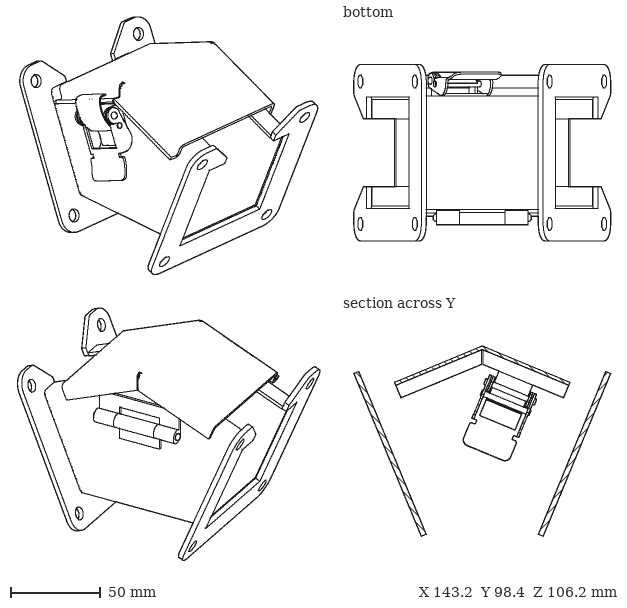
import cadquery as cq
import math


ANGLE = 22.5
SIN = math.sin(math.radians(ANGLE))
COS = math.cos(math.radians(ANGLE))
TAN = SIN / COS
SHEET = 2.0
BEND_IN = 1.0
BEND_OUT = BEND_IN + SHEET
HALF_SPAN = 71.6
FAR = 143.2

FLANGE_SIZE = 98.4
FLANGE_THICK = 3.0
FLANGE_LOW_Z = -17.2
HOLE_DIAMETER = 7.2
HOLE_PITCH = 79.3
CORNER_RADIUS = (FLANGE_SIZE - HOLE_PITCH) / 2
WINDOW_WIDTH = 61.9
WINDOW_LOW = 18.2
ARM_LOW = 79.8
ARM_TIP_HIGH = 84.5
MOUTH_WIDTH = 37.8
ARM_TOP_HALF = 32.2
ARM_TOP_RADIUS = 2.9

TROUGH_WIDTH = 63.3
TROUGH_APEX_Z = 85.0

LID_APEX_Z = 89.1
LID_WIDTH = 73.6
LID_SHIFT_Y = -1.3
LID_LENGTH = 53.0
SKIRT_DEPTH = 9.3
LIP_ANGLE = 10.0
LIP_END_Y = -43.3
LIP_END_TOP = -6.9
SLIT_WIDTH = 0.7
RELIEF_DIAMETER = 1.5

LID_FRONT_Y = LID_SHIFT_Y - LID_WIDTH / 2
LID_BACK_Y = LID_SHIFT_Y + LID_WIDTH / 2

HINGE_AXIS_Y = 36.2
HINGE_AXIS_Z = 56.6
KNUCKLE_RADIUS = 4.0
HINGE_HALF = 25.5
HINGE_MID_HALF = HINGE_HALF / 2
LEAF_THICK = 1.6
LEAF_REACH = 12.9
LID_LEAF_TOP_Z = 70.9
LEAF_BRIDGE_HEIGHT = 7.2
PIN_DIAMETER = 3.2
PIN_HEAD_DIAMETER = 4.0
HINGE_HEAD_LENGTH = 1.9
DOME_SHARE = 0.8

LATCH_SHEET = 1.3
HOOK_SHEET = 0.7
LATCH_CENTRE_X = -24.2
PIVOT_Y = -40.1
PIVOT_Z = -17.8
LUG_RADIUS = 4.5
PIVOT_HEAD_LENGTH = 1.1
HOOK_WIDTH = 20.5
HOOK_TOP_Z = -5.5
HOOK_BACK_Y = -38.5
HOOK_FRONT_Y = -45.0
HOOK_ARC_RADIUS = 19.2
HOOK_ARC_UP = 16.0
HOOK_ARC_DOWN = 46.5
HOOK_BEND = 3.2
LEVER_WIDTH = 28.4
LEVER_FRONT_Y = -42.0
LEVER_BEND = 2.3
WEB_TOP_Z = -22.3
WINDOW_HALF = 10.6
LEVER_WINDOW_LOW = -36.4
LEVER_WALL_LOW = -39.5
NECK_HALF = 11.2
TAB_TOP_Z = -41.8
TAB_BEND_HEIGHT = 7.0
TAB_FLAT_HEIGHT = 5.5
TAB_ANGLE = 19.0
TAB_RADIUS = 3.6
EAR_FRONT_Y = -38.7
EAR_MIDDLE = (-33.7, -37.1)
EAR_BACK = (-32.1, -30.8)
ROD_TURN = 42.0
ROD_END = 0.6
BASE_HALF = 12.0
BASE_LOW_Z = -37.5
BASE_CORNER = 1.5


def mirrored_pair(half, gap=0):
    """Trim a half body at the mitre plane and join it to its mirror image, optionally leaving a gap."""
    left = half.intersect(cq.Workplane("XY").box(FAR, FAR, 2 * FAR).translate((-(FAR + gap) / 2, 0, 0)))
    return left.union(left.mirror("YZ"))


def onto_left_slope(body):
    """Move a body from the slope frame to its place on the left lid half."""
    return body.rotate((0, 0, 0), (0, 1, 0), -ANGLE).translate((0, 0, LID_APEX_Z))


def bar_along_x(radius, x_start, x_end, y, z):
    return cq.Workplane("YZ", origin=(x_start, 0, 0)).center(y, z).circle(radius).extrude(x_end - x_start)


def fillet_near(body, radius, point):
    return body.edges(cq.selectors.NearestToPointSelector(point)).fillet(radius)


def headed_pin(half_length, head_length, x, y, z):
    """Pin along X with a domed head at each end."""
    pin = bar_along_x(PIN_DIAMETER / 2, x - half_length, x + half_length, y, z)
    for side in (-1, 1):
        start = x + side * half_length
        head = bar_along_x(PIN_HEAD_DIAMETER / 2, start, start + side * head_length, y, z)
        outer_face = ">X" if side > 0 else "<X"
        pin = pin.union(head.faces(outer_face).edges().fillet(head_length * DOME_SHARE))
    return pin


def left_flange():
    half = FLANGE_SIZE / 2
    mouth = MOUTH_WIDTH / 2
    window = WINDOW_WIDTH / 2
    right_side = [
        (half, 0), (half, FLANGE_SIZE), (ARM_TOP_HALF, FLANGE_SIZE), (mouth, ARM_TIP_HIGH),
        (mouth, ARM_LOW), (window, ARM_LOW), (window, WINDOW_LOW),
    ]
    left_side = [(-y, z) for y, z in reversed(right_side)]
    plate = cq.Workplane("YZ").polyline(right_side + left_side).close().extrude(FLANGE_THICK)
    for side in (-1, 1):
        for z in (0, FLANGE_SIZE):
            plate = fillet_near(plate, CORNER_RADIUS, (FLANGE_THICK / 2, side * half, z))
        plate = fillet_near(plate, ARM_TOP_RADIUS, (FLANGE_THICK / 2, side * ARM_TOP_HALF, FLANGE_SIZE))
    holes = (
        cq.Workplane("YZ").center(0, half).rect(HOLE_PITCH, HOLE_PITCH, forConstruction=True)
        .vertices().circle(HOLE_DIAMETER / 2).extrude(FLANGE_THICK)
    )
    low_x = FLANGE_SIZE * SIN - HALF_SPAN
    return plate.cut(holes).rotate((0, 0, 0), (0, 1, 0), -ANGLE).translate((low_x, 0, FLANGE_LOW_Z))


def trough_half_block(inset, radius, end_reach):
    """Half of the trough envelope, drawn past the mitre plane, with its long edges rounded."""
    face_x = FLANGE_SIZE * SIN - HALF_SPAN + (FLANGE_THICK - end_reach) / COS + FLANGE_LOW_Z * TAN
    low = inset
    apex = TROUGH_APEX_Z - inset / COS
    corner_z = (apex + face_x * TAN) / (1 + TAN * TAN)
    past = BEND_OUT * 4
    outline = [
        (past, low), (face_x - low * TAN, low),
        (face_x - corner_z * TAN, corner_z), (past, apex + past * TAN),
    ]
    width = TROUGH_WIDTH - 2 * inset
    block = cq.Workplane("XZ").polyline(outline).close().extrude(width / 2, both=True)
    block = block.edges("|X").fillet(radius)
    return block.edges(cq.selectors.ParallelDirSelector(cq.Vector(COS, 0, SIN))).fillet(radius)


def trough_body():
    shell = trough_half_block(0, BEND_OUT, 0).cut(trough_half_block(SHEET, BEND_IN, FLANGE_THICK))
    mouth = cq.Workplane("XY").box(2 * FAR, MOUTH_WIDTH, FAR).translate((0, 0, FAR / 2 + BEND_OUT))
    return mirrored_pair(shell.cut(mouth))


def lid_side(points, rounded):
    """Folded side strip of the left lid half; rounded lists (radius, y, z) of its bends."""
    past_mitre = SKIRT_DEPTH
    strip = cq.Workplane("YZ", origin=(-LID_LENGTH, 0, 0)).polyline(points).close()
    strip = strip.extrude(LID_LENGTH + past_mitre)
    for radius, y, z in rounded:
        strip = fillet_near(strip, radius, ((past_mitre - LID_LENGTH) / 2, y, z))
    return onto_left_slope(strip)


def lid_front_side():
    lip_sin = math.sin(math.radians(LIP_ANGLE))
    lip_cos = math.cos(math.radians(LIP_ANGLE))
    lip_tan = lip_sin / lip_cos
    outer = LID_FRONT_Y
    inner = outer + SHEET
    flat = outer + BEND_OUT
    end_low = (LIP_END_Y, LIP_END_TOP - SHEET * lip_cos)
    end_top = (LIP_END_Y + SHEET * lip_sin, LIP_END_TOP)
    root_top = (outer, LIP_END_TOP - (outer - end_top[0]) * lip_tan)
    root_low = (inner, end_low[1] - (inner - end_low[0]) * lip_tan)
    points = [(flat, 0), (outer, 0), root_top, end_top, end_low, root_low, (inner, -SHEET), (flat, -SHEET)]
    bends = [
        (BEND_OUT - 0.01, outer, 0), (BEND_IN - 0.01, inner, -SHEET),
        (BEND_IN, *root_top), (BEND_OUT, *root_low),
    ]
    return lid_side(points, bends)


def lid_back_side():
    outer = LID_BACK_Y
    inner = outer - SHEET
    flat = outer - BEND_OUT
    points = [
        (flat, 0), (outer, 0), (outer, -SKIRT_DEPTH), (inner, -SKIRT_DEPTH),
        (inner, -SHEET), (flat, -SHEET),
    ]
    return lid_side(points, [(BEND_OUT - 0.01, outer, 0), (BEND_IN - 0.01, inner, -SHEET)])


def lid_roof():
    """The two sloping sheets joined by a rounded bend over the mitre plane."""
    end_x = -LID_LENGTH * COS
    end_z = LID_APEX_Z - LID_LENGTH * SIN
    right = [(0, LID_APEX_Z), (-end_x, end_z), (-end_x - SHEET * SIN, end_z - SHEET * COS)]
    left = [(end_x + SHEET * SIN, end_z - SHEET * COS), (end_x, end_z)]
    inner_apex = (0, LID_APEX_Z - SHEET / COS)
    width = LID_WIDTH - 2 * BEND_OUT
    roof = cq.Workplane("XZ").polyline(right + [inner_apex] + left).close().extrude(width / 2, both=True)
    roof = fillet_near(roof, BEND_OUT, (0, 0, LID_APEX_Z))
    roof = fillet_near(roof, BEND_IN, (inner_apex[0], 0, inner_apex[1]))
    return roof.translate((0, LID_SHIFT_Y, 0))


def lid_body():
    """Roof with folded sides; a slit and a relief hole part each side at the mitre plane."""
    lid = lid_roof()
    for side_strip in (lid_front_side(), lid_back_side()):
        lid = lid.union(mirrored_pair(side_strip, SLIT_WIDTH))
    for side in (-1, 1):
        relief_y = LID_SHIFT_Y + side * (LID_WIDTH - SHEET) / 2
        relief = cq.Workplane("XY", origin=(0, relief_y, LID_APEX_Z - BEND_OUT))
        relief = relief.circle(RELIEF_DIAMETER / 2).extrude(BEND_OUT)
        lid = lid.cut(relief)
    return lid


def hinge_leaf(knuckle_spans, plate_y, low_z, high_z):
    """Knuckles along X with a flat leaf of the same spans."""
    leaf = cq.Workplane("XY")
    for start, end in knuckle_spans:
        plate = cq.Workplane("XY").box(end - start, LEAF_THICK, high_z - low_z, centered=False)
        leaf = leaf.union(plate.translate((start, plate_y, low_z)))
        leaf = leaf.union(bar_along_x(KNUCKLE_RADIUS, start, end, HINGE_AXIS_Y, HINGE_AXIS_Z))
    return leaf.cut(bar_along_x(PIN_DIAMETER / 2, -FAR, FAR, HINGE_AXIS_Y, HINGE_AXIS_Z))


def trough_hinge_leaf():
    spans = [(-HINGE_MID_HALF, HINGE_MID_HALF)]
    return hinge_leaf(spans, TROUGH_WIDTH / 2, HINGE_AXIS_Z - LEAF_REACH, HINGE_AXIS_Z)


def lid_hinge_leaf():
    spans = [(-HINGE_HALF, -HINGE_MID_HALF), (HINGE_MID_HALF, HINGE_HALF)]
    leaf = hinge_leaf(spans, LID_BACK_Y - SHEET - LEAF_THICK, HINGE_AXIS_Z, LID_LEAF_TOP_Z)
    bridge = cq.Workplane("XY").box(2 * HINGE_HALF, LEAF_THICK, LEAF_BRIDGE_HEIGHT, centered=False)
    bridge_z = LID_LEAF_TOP_Z - LEAF_BRIDGE_HEIGHT
    return leaf.union(bridge.translate((-HINGE_HALF, LID_BACK_Y - SHEET - LEAF_THICK, bridge_z)))


def latch_slab(half_width, low_y, high_y, low_z, high_z):
    """Block symmetric about the latch centre, in the slope frame."""
    slab = cq.Workplane("XY").box(2 * half_width, high_y - low_y, high_z - low_z, centered=(True, False, False))
    return slab.translate((LATCH_CENTRE_X, low_y, low_z))


def latch_profile(half_width):
    """Sketch plane normal to X from which a latch section is extruded over its full width."""
    return cq.Workplane("YZ", origin=(LATCH_CENTRE_X - half_width, 0, 0))


def latch_rod(half_length, y, z):
    return bar_along_x(PIN_DIAMETER / 2, LATCH_CENTRE_X - half_length, LATCH_CENTRE_X + half_length, y, z)


def hook_point(centre, radius, degrees):
    """Point on an arc; degrees run upward from the outward (-Y) direction."""
    turn = math.radians(degrees)
    return (centre[0] - radius * math.cos(turn), centre[1] + radius * math.sin(turn))


def hook_arc_centre():
    reach = HOOK_ARC_RADIUS - HOOK_BEND
    drop = HOOK_BEND + reach * math.sin(math.radians(HOOK_ARC_UP))
    return (HOOK_FRONT_Y + HOOK_ARC_RADIUS, HOOK_TOP_Z - drop)


def hook_body():
    """Strap that lies over the lid lip and curls down behind the lever web."""
    big = hook_arc_centre()
    small = hook_point(big, HOOK_ARC_RADIUS - HOOK_BEND, HOOK_ARC_UP)
    big_inner = HOOK_ARC_RADIUS - HOOK_SHEET
    small_inner = HOOK_BEND - HOOK_SHEET
    middle = (90 + HOOK_ARC_UP) / 2
    width = HOOK_WIDTH
    strap = (
        latch_profile(width / 2).moveTo(HOOK_BACK_Y, HOOK_TOP_Z)
        .lineTo(small[0], HOOK_TOP_Z)
        .threePointArc(hook_point(small, HOOK_BEND, middle), hook_point(small, HOOK_BEND, HOOK_ARC_UP))
        .threePointArc(hook_point(big, HOOK_ARC_RADIUS, 0), hook_point(big, HOOK_ARC_RADIUS, -HOOK_ARC_DOWN))
        .lineTo(*hook_point(big, big_inner, -HOOK_ARC_DOWN))
        .threePointArc(hook_point(big, big_inner, 0), hook_point(big, big_inner, HOOK_ARC_UP))
        .threePointArc(hook_point(small, small_inner, middle), hook_point(small, small_inner, 90))
        .lineTo(HOOK_BACK_Y, HOOK_TOP_Z - HOOK_SHEET)
        .close().extrude(width)
    )
    return onto_left_slope(strap)


def base_body():
    """Plate on the trough wall with two lugs that carry the lever pivot."""
    wall_y = -TROUGH_WIDTH / 2
    high_z = PIVOT_Z + LUG_RADIUS
    plate = latch_slab(BASE_HALF, wall_y - LATCH_SHEET, wall_y, BASE_LOW_Z, high_z)
    plate = plate.edges("|Y").edges("<Z").fillet(BASE_CORNER)
    lugs = (
        latch_profile(BASE_HALF).center(PIVOT_Y, PIVOT_Z).circle(LUG_RADIUS).extrude(2 * BASE_HALF)
        .union(latch_slab(BASE_HALF, PIVOT_Y, wall_y, PIVOT_Z - LUG_RADIUS, high_z))
    )
    gap = latch_slab(BASE_HALF - LATCH_SHEET, -FAR, wall_y, -FAR, 0)
    base = plate.union(lugs.cut(gap)).cut(latch_rod(LEVER_WIDTH, PIVOT_Y, PIVOT_Z))
    return onto_left_slope(base)


def lever_wall_section(half_width):
    """Side outline of the lever: pivot lug and a rounded ear, over the full lever width."""
    ear = (
        latch_profile(half_width).moveTo(LEVER_FRONT_Y, PIVOT_Z)
        .lineTo(LEVER_FRONT_Y, LEVER_WALL_LOW)
        .lineTo(EAR_FRONT_Y, LEVER_WALL_LOW)
        .threePointArc(EAR_MIDDLE, EAR_BACK)
        .lineTo(PIVOT_Y + LUG_RADIUS, PIVOT_Z)
        .close().extrude(2 * half_width)
    )
    lug = latch_profile(half_width).center(PIVOT_Y, PIVOT_Z).circle(LUG_RADIUS).extrude(2 * half_width)
    return ear.union(lug)


def lever_channel():
    """Folded web and side walls, with the lugs standing above the web."""
    half = LEVER_WIDTH / 2
    channel = latch_slab(half, LEVER_FRONT_Y, 0, LEVER_WALL_LOW, WEB_TOP_Z)
    channel = channel.edges("|Z").edges("<Y").fillet(LEVER_BEND)
    hollow = latch_slab(half - LATCH_SHEET, LEVER_FRONT_Y + LATCH_SHEET, 0, LEVER_WALL_LOW, WEB_TOP_Z)
    hollow = hollow.edges("|Z").edges("<Y").fillet(LEVER_BEND - LATCH_SHEET)
    section = lever_wall_section(half)
    folded = section.intersect(channel.cut(hollow))
    lugs = section.intersect(latch_slab(half, -FAR, 0, WEB_TOP_Z, 0))
    lugs = lugs.cut(latch_slab(half - LATCH_SHEET, -FAR, 0, -FAR, 0))
    web = latch_slab(half - LEVER_BEND, LEVER_FRONT_Y, LEVER_FRONT_Y + LATCH_SHEET, LEVER_WALL_LOW, WEB_TOP_Z)
    window = latch_slab(WINDOW_HALF, LEVER_FRONT_Y, LEVER_FRONT_Y + LATCH_SHEET, LEVER_WINDOW_LOW, 0)
    return folded.union(web).union(lugs).cut(window)


def lever_tab():
    """Finger tab that flares away from the trough, with its narrow neck."""
    half = LEVER_WIDTH / 2
    tilt = math.radians(TAB_ANGLE)
    radius = TAB_BEND_HEIGHT / math.sin(tilt)
    centre = (LEVER_FRONT_Y - radius, TAB_TOP_Z)
    inner_radius = radius + LATCH_SHEET

    def on_bend(arc_radius, turn):
        return (centre[0] + arc_radius * math.cos(turn), centre[1] - arc_radius * math.sin(turn))

    front_end = on_bend(radius, tilt)
    tip = (front_end[0] - TAB_FLAT_HEIGHT * math.tan(tilt), front_end[1] - TAB_FLAT_HEIGHT)
    back_tip = (tip[0] + LATCH_SHEET * math.cos(tilt), tip[1] - LATCH_SHEET * math.sin(tilt))
    tab = (
        latch_profile(half).moveTo(LEVER_FRONT_Y, TAB_TOP_Z)
        .threePointArc(on_bend(radius, tilt / 2), front_end)
        .lineTo(*tip)
        .lineTo(*back_tip)
        .lineTo(*on_bend(inner_radius, tilt))
        .threePointArc(on_bend(inner_radius, tilt / 2), on_bend(inner_radius, 0))
        .close().extrude(LEVER_WIDTH)
    )
    for side in (-1, 1):
        edge_x = LATCH_CENTRE_X + side * half
        tab = fillet_near(tab, TAB_RADIUS, (edge_x, (tip[0] + back_tip[0]) / 2, (tip[1] + back_tip[1]) / 2))
        tab = fillet_near(tab, LATCH_SHEET, (edge_x, LEVER_FRONT_Y + LATCH_SHEET / 2, TAB_TOP_Z))
    neck = latch_slab(NECK_HALF, LEVER_FRONT_Y, LEVER_FRONT_Y + LATCH_SHEET, TAB_TOP_Z, LEVER_WALL_LOW)
    return tab.union(neck)


def lever_body():
    """Lever with its pivot rod and the cross rod that the hook tail rests on."""
    half = LEVER_WIDTH / 2
    lever = lever_channel().union(lever_tab())
    lever = lever.union(headed_pin(half, PIVOT_HEAD_LENGTH, LATCH_CENTRE_X, PIVOT_Y, PIVOT_Z))
    rod_reach = HOOK_ARC_RADIUS - HOOK_SHEET - PIN_DIAMETER / 2
    lever = lever.union(latch_rod(half + ROD_END, *hook_point(hook_arc_centre(), rod_reach, -ROD_TURN)))
    return onto_left_slope(lever)


flange = left_flange()
flanges = [flange, flange.mirror("YZ")]
trough = trough_body()
lid = lid_body()
trough_leaf = trough_hinge_leaf()
lid_leaf = lid_hinge_leaf()
hinge_pin = headed_pin(HINGE_HALF, HINGE_HEAD_LENGTH, 0, HINGE_AXIS_Y, HINGE_AXIS_Z)
latch_base = base_body()
latch_hook = hook_body()
latch_lever = lever_body()

result = cq.Compound.makeCompound([
    *[plate.val() for plate in flanges],
    trough.val(), lid.val(),
    trough_leaf.val(), lid_leaf.val(), hinge_pin.val(),
    latch_base.val(), latch_hook.val(), latch_lever.val(),
])